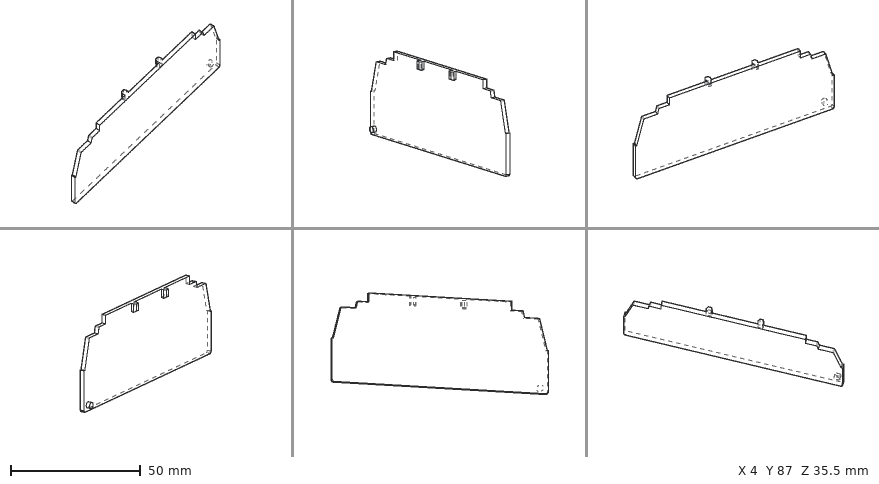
import cadquery as cq

length = 87.0
height = 35.5
thickness = 1.8
half_length = length / 2

corner_width = 0.5
corner_height = 0.8
side_height = 17.05
side_ledge = 0.5
shoulder_half = 39.85
shoulder_drop = 6.1
step_half_bottom = 33.8
step_half_top = 33.2
step_drop = 3.5
top_half = 28.7
step_corner_radius = 0.35

rib_total_depth = 4.0
rib_projection = rib_total_depth - thickness
rib_width = 2.4
rib_height = step_drop
rib_offset = 10.3
rib_bevel_depth = 1.05
rib_bevel_side = 0.565
rib_undercut = 0.3

pin_diameter = 2.4
pin_projection = 1.6
pin_y = 40.8
pin_z = 2.5


def make_plate():
    right_half = [
        (half_length - corner_width, 0),
        (half_length, corner_height),
        (half_length, side_height),
        (half_length - side_ledge, side_height),
        (shoulder_half, height - shoulder_drop),
        (step_half_bottom, height - shoulder_drop),
        (step_half_top, height - step_drop),
        (top_half, height - step_drop),
        (top_half, height),
    ]
    left_half = [(-y, z) for y, z in reversed(right_half)]
    plate = cq.Workplane("YZ").polyline(right_half + left_half).close().extrude(thickness)
    step_corners = [
        (shoulder_half, height - shoulder_drop),
        (step_half_top, height - step_drop),
    ]
    for y, z in step_corners:
        for side in (-1, 1):
            corner = cq.selectors.NearestToPointSelector((thickness / 2, side * y, z))
            plate = plate.edges("|X").edges(corner).fillet(step_corner_radius)
    return plate


def make_rib(center_y):
    neck_half = rib_width / 2 - rib_undercut
    tip_half = rib_width / 2 - rib_bevel_side
    bevel_end = rib_bevel_depth - rib_projection
    profile = [
        (0, center_y - neck_half),
        (bevel_end, center_y - rib_width / 2),
        (-rib_projection, center_y - tip_half),
        (-rib_projection, center_y + tip_half),
        (bevel_end, center_y + rib_width / 2),
        (0, center_y + neck_half),
    ]
    rib = (
        cq.Workplane("XY", origin=(0, 0, height - rib_height))
        .polyline(profile).close().extrude(rib_height)
    )
    bottom = height - rib_height
    side_profile = [
        (0, height),
        (0, bottom + rib_undercut),
        (bevel_end, bottom),
        (-rib_projection, bottom + rib_bevel_side),
        (-rib_projection, height),
    ]
    envelope = (
        cq.Workplane("XZ", origin=(0, center_y, 0))
        .polyline(side_profile).close().extrude(rib_width, both=True)
    )
    return rib.intersect(envelope)


def make_pin():
    return (
        cq.Workplane("YZ").center(pin_y, pin_z)
        .circle(pin_diameter / 2).extrude(-pin_projection)
    )


result = make_plate().union(make_pin())
for rib_y in (-rib_offset, rib_offset):
    result = result.union(make_rib(rib_y))